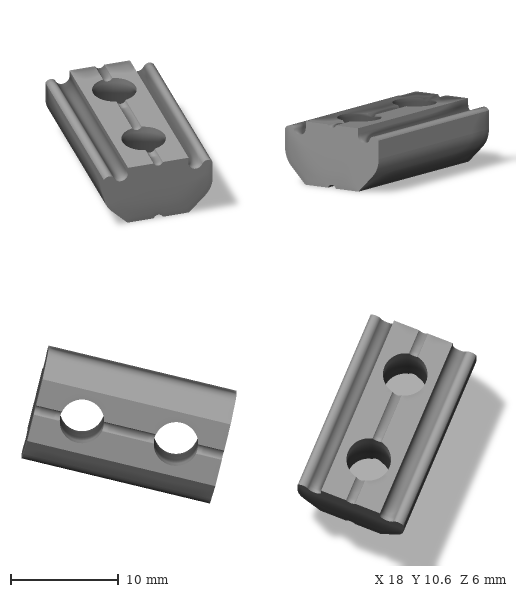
import cadquery as cq
import math

length = 18.0
width = 10.6
height = 6.0
half_width = width / 2

bottom_half_width = 3.0
flank_radius = 2.5

neck_half_width = 2.95
channel_radius = 0.7
channel_depth = 1.33
lip_radius = 0.55
lip_drop = 0.6

groove_width = 0.9
groove_depth = 0.3

hole_diameter = 4.14
hole_spacing = 9.0


def point_on_circle(center, radius, angle):
    return (center[0] + radius * math.cos(angle), center[1] + radius * math.sin(angle))


slope_angle = math.radians(45)
slope_corner_z = (half_width - bottom_half_width) * math.tan(slope_angle)
flank_center = (
    half_width - flank_radius,
    slope_corner_z + flank_radius * math.tan(slope_angle / 2),
)
flank_start = point_on_circle(flank_center, flank_radius, -slope_angle)
flank_middle = point_on_circle(flank_center, flank_radius, -slope_angle / 2)
flank_end = (half_width, flank_center[1])

channel_center = (neck_half_width + channel_radius, height - channel_depth + channel_radius)
lip_center_z = height - lip_drop - lip_radius
center_distance = channel_radius + lip_radius
center_rise = channel_center[1] - lip_center_z
lip_center = (
    channel_center[0] + math.sqrt(center_distance**2 - center_rise**2),
    lip_center_z,
)
lip_side_reach = half_width - lip_center[0]
lip_side = (half_width, lip_center_z + math.sqrt(lip_radius**2 - lip_side_reach**2))
lip_crest = (lip_center[0], lip_center_z + lip_radius)
blend_angle = math.atan2(center_rise, channel_center[0] - lip_center[0])
blend_point = point_on_circle(lip_center, lip_radius, blend_angle)
channel_bottom = (channel_center[0], height - channel_depth)
channel_end = (neck_half_width, channel_center[1])

half_profile = (
    cq.Workplane("YZ")
    .moveTo(0, 0)
    .lineTo(bottom_half_width, 0)
    .lineTo(*flank_start)
    .threePointArc(flank_middle, flank_end)
    .lineTo(*lip_side)
    .threePointArc(lip_crest, blend_point)
    .threePointArc(channel_bottom, channel_end)
    .lineTo(neck_half_width, height)
    .lineTo(0, height)
    .close()
)
half_bar = half_profile.extrude(length / 2, both=True)
bar = half_bar.union(half_bar.mirror("XZ")).clean()

groove_radius = ((groove_width / 2) ** 2 + groove_depth**2) / (2 * groove_depth)
groove_offset = groove_radius - groove_depth
for groove_z in (-groove_offset, height + groove_offset):
    groove = cq.Workplane("YZ").center(0, groove_z).circle(groove_radius).extrude(length / 2, both=True)
    bar = bar.cut(groove)

holes = (
    cq.Workplane("XY")
    .pushPoints([(-hole_spacing / 2, 0), (hole_spacing / 2, 0)])
    .circle(hole_diameter / 2)
    .extrude(height)
)
result = bar.cut(holes)